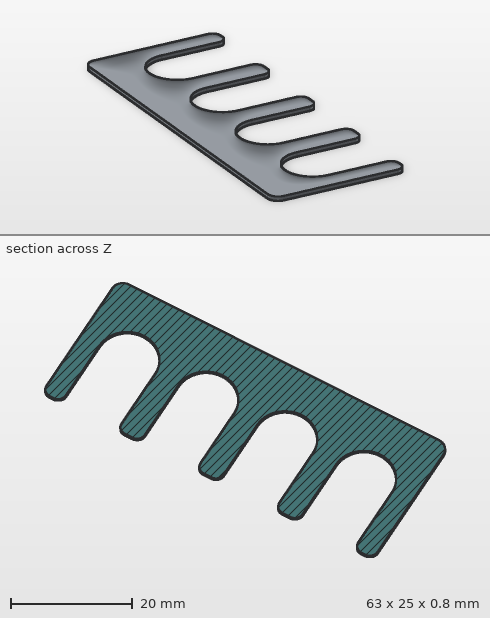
import cadquery as cq

length = 63.0
depth = 25.0
thickness = 0.8
base_corner_radius = 2.0

slot_count = 4
slot_pitch = 15.0
slot_width = 10.5
slot_radius = slot_width / 2
web_depth = 7.3
tip_radius = 1.5

back_y = depth / 2
front_y = -depth / 2
slot_arc_y = front_y + web_depth + slot_radius


def slot_cutter(center_x):
    """Straight-sided slot with a semicircular bottom, reaching the +Y edge."""
    return (
        cq.Workplane("XY")
        .moveTo(center_x - slot_radius, back_y)
        .lineTo(center_x - slot_radius, slot_arc_y)
        .threePointArc((center_x, slot_arc_y - slot_radius), (center_x + slot_radius, slot_arc_y))
        .lineTo(center_x + slot_radius, back_y)
        .close()
        .extrude(thickness)
    )


plate = cq.Workplane("XY").box(length, depth, thickness, centered=(True, True, False))

for index in range(slot_count):
    slot_x = (index - (slot_count - 1) / 2) * slot_pitch
    plate = plate.cut(slot_cutter(slot_x))

plate = plate.faces(">Y").edges("|Z").fillet(tip_radius)
result = plate.faces("<Y").edges("|Z").fillet(base_corner_radius)